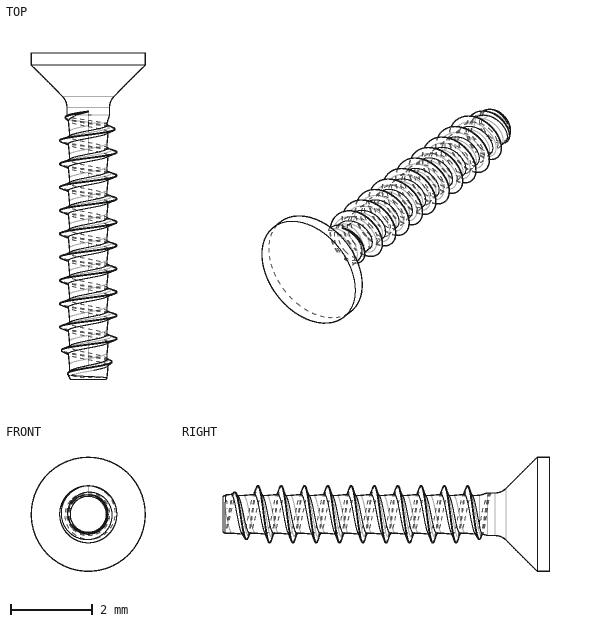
import math

import cadquery as cq


length = 8.0
head_radius = 2.8 / 2
thread_radius = 1.4 / 2
shank_radius = 1.05 / 2
core_radius = 0.93 / 2
tip_radius = 0.88 / 2

rim_height = 0.30
head_cone_half_angle = math.radians(45)
neck_fillet_radius = 0.38
plain_shank_end = 1.52
shank_taper_length = 0.20
tip_cone_half_angle = math.radians(27)

pitch = 0.571
base_radius = 0.40
flank_base_offset = 0.13
kink_radius = 0.56
kink_offset = 0.05
half_crest_width = 0.01
ramp_radius = 0.49
ramp_start_offset = 0.085
ramp_end_radius = 0.46
ramp_end_offset = 0.40

total_turns = 11.5
run_in_turns = 1.0
run_out_turns = 1.5
points_per_turn = 24
crest_start_depth = length - total_turns * pitch


def make_body():
    """Head, neck fillet, plain shank and core as one revolved solid."""
    fillet_drop = neck_fillet_radius * (1 - math.cos(head_cone_half_angle))
    fillet_length = neck_fillet_radius * math.sin(head_cone_half_angle)
    cone_end_radius = shank_radius + fillet_drop
    cone_end = rim_height + (head_radius - cone_end_radius) / math.tan(head_cone_half_angle)
    fillet_end = cone_end + fillet_length

    half_angle = head_cone_half_angle / 2
    fillet_mid_radius = shank_radius + neck_fillet_radius * (1 - math.cos(half_angle))
    fillet_mid = fillet_end - neck_fillet_radius * math.sin(half_angle)

    return (
        cq.Workplane("YZ")
        .moveTo(0, 0)
        .lineTo(0, head_radius)
        .lineTo(-rim_height, head_radius)
        .lineTo(-cone_end, cone_end_radius)
        .threePointArc((-fillet_mid, fillet_mid_radius), (-fillet_end, shank_radius))
        .lineTo(-plain_shank_end, shank_radius)
        .lineTo(-plain_shank_end - shank_taper_length, core_radius)
        .lineTo(-length, core_radius)
        .lineTo(-length, 0)
        .close()
        .revolve(360, (0, 0, 0), (1, 0, 0))
    )


def crest_radius(turn):
    """Outer radius of the ridge: it grows over the run-in and fades over the run-out."""
    turns_left = total_turns - turn
    if turn < run_in_turns:
        return shank_radius + (thread_radius - shank_radius) * turn / run_in_turns
    if turns_left < run_out_turns:
        return core_radius + (thread_radius - core_radius) * turns_left / run_out_turns
    return thread_radius


def ridge_section(turn):
    """Offset along the axis and radius of each corner of the ridge section at a turn."""
    crest = crest_radius(turn)
    height = (crest - base_radius) / (thread_radius - base_radius)
    kink = base_radius + (kink_radius - base_radius) * height
    return [
        (-flank_base_offset, base_radius),
        (-kink_offset, kink),
        (-half_crest_width, crest),
        (half_crest_width, crest),
        (ramp_start_offset, min(ramp_radius, crest)),
        (ramp_end_offset, ramp_end_radius),
        (ramp_end_offset, base_radius),
    ]


def ridge_points(turn):
    """Corners of the ridge section at a turn, placed around the axis as a right-hand helix."""
    angle = 2 * math.pi * turn
    crest_depth = crest_start_depth + pitch * turn
    return [
        cq.Vector(-radius * math.sin(angle), -crest_depth - offset, radius * math.cos(angle))
        for offset, radius in ridge_section(turn)
    ]


def corner_helices(first_turn, last_turn):
    """Helical edges followed by the corners of the ridge section over a stretch of thread."""
    steps = math.ceil((last_turn - first_turn) * points_per_turn)
    turns = [first_turn + (last_turn - first_turn) * i / steps for i in range(steps + 1)]
    sections = [ridge_points(turn) for turn in turns]
    return [cq.Edge.makeSpline(list(course)) for course in zip(*sections)]


def end_face(turn):
    """Flat face that closes the ridge at its start or end."""
    return cq.Face.makeFromWires(cq.Wire.makePolygon(ridge_points(turn), close=True))


def make_thread():
    """Helical ridge with a run-in under the head and a run-out at the tip."""
    run_out_start = total_turns - run_out_turns
    stretches = [(0, run_in_turns), (run_in_turns, run_out_start), (run_out_start, total_turns)]

    faces = [end_face(0), end_face(total_turns)]
    for first_turn, last_turn in stretches:
        helices = corner_helices(first_turn, last_turn)
        for helix, next_helix in zip(helices, helices[1:] + helices[:1]):
            faces.append(cq.Face.makeRuledSurface(helix, next_helix))
    return cq.Workplane(cq.Solid.makeSolid(cq.Shell.makeShell(faces)))


def make_tip_cutter():
    """Trims core and thread to a tip cone and cuts the thread off flush with the tip face."""
    cone_length = (thread_radius - tip_radius) / math.tan(tip_cone_half_angle)
    return (
        cq.Workplane("YZ")
        .moveTo(-length, 0)
        .lineTo(-length, tip_radius)
        .lineTo(-length + cone_length, thread_radius)
        .lineTo(-length + cone_length, head_radius)
        .lineTo(-length - pitch, head_radius)
        .lineTo(-length - pitch, 0)
        .close()
        .revolve(360, (0, 0, 0), (1, 0, 0))
    )


result = make_body().union(make_thread()).cut(make_tip_cutter())